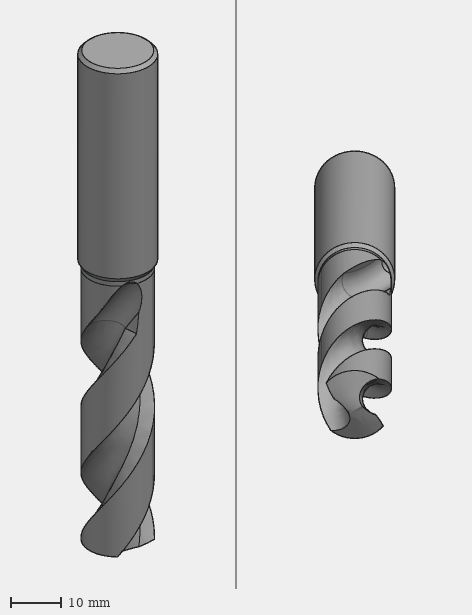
import cadquery as cq
import math

origin = cq.Vector(0, 0, 0)
z_axis = cq.Vector(0, 0, 1)

total_length = 115.0
shank_diameter = 16.0
drill_diameter = 14.7
point_angle = 140.0

cutting_length = 65.0
neck_top = 66.0
shank_bottom = 67.0
top_chamfer = 0.8

flute_count = 2
flute_pitch = 60.5
flute_helix_top = 53.5
flute_start_angle = -47.0
flute_turn = 360 * flute_helix_top / flute_pitch

core_radius = 1.5
flute_arc_radius = 3.9
flute_arc_side = -1.2
lip_inner = (3.7, 2.5)
lip_outer = (6.9, 8.3)
flute_reach = 8.6

runout_radius = 24.2
runout_tilt_radius = 7.142
runout_sweep = 50.0

shank_radius = shank_diameter / 2
drill_radius = drill_diameter / 2
point_height = drill_radius / math.tan(math.radians(point_angle / 2))


def flute_outline():
    """Flute section facing +X: a round floor, then a straight lip side."""
    arc_center = core_radius + flute_arc_radius
    lip_angle = math.atan2(lip_inner[1] - flute_arc_side, lip_inner[0] - arc_center)
    heel_angle = 3 * math.pi / 2
    middle_angle = (lip_angle + heel_angle) / 2
    arc_middle = (
        arc_center + flute_arc_radius * math.cos(middle_angle),
        flute_arc_side + flute_arc_radius * math.sin(middle_angle),
    )
    heel_side = flute_arc_side - flute_arc_radius
    return (
        cq.Workplane("XY")
        .moveTo(flute_reach, heel_side)
        .lineTo(arc_center, heel_side)
        .threePointArc(arc_middle, lip_inner)
        .lineTo(*lip_outer)
        .close()
    )


def helical_cutter():
    """Flute section twisted from the point up to the start of the run-out."""
    return flute_outline().twistExtrude(flute_helix_top, flute_turn).val()


def runout_cutter():
    """Flute section turned about an axis outside the drill, square to the helix."""
    helix_slope = 2 * math.pi * runout_tilt_radius / flute_pitch
    section = flute_outline().wires().val()
    pivot = cq.Vector(core_radius + runout_radius, 0, 0)
    axis = cq.Vector(0, 1.2, -helix_slope)
    cutter = cq.Solid.revolve(section, [], runout_sweep, pivot, pivot + axis)
    return cutter.rotate(origin, z_axis, flute_turn).translate(z_axis * flute_helix_top)


def cut_flutes(body, cutter):
    """Cut the same flute at equal turns around the drill axis."""
    for i in range(flute_count):
        angle = flute_start_angle + i * 360 / flute_count
        body = body.cut(cutter.rotate(origin, z_axis, angle))
    return body


def make_cutting_part():
    """Pointed cylinder with helical flutes that run out at its top."""
    blank = (
        cq.Workplane("XZ")
        .moveTo(0, 0)
        .lineTo(drill_radius, point_height)
        .lineTo(drill_radius, cutting_length)
        .lineTo(0, cutting_length)
        .close()
        .revolve(360, (0, 0), (0, 1))
    )
    return cut_flutes(cut_flutes(blank.val(), helical_cutter()), runout_cutter())


def make_shank():
    """Plain shank and short neck; the flute run-outs end in the neck."""
    blank = (
        cq.Workplane("XZ")
        .moveTo(0, cutting_length)
        .lineTo(drill_radius, cutting_length)
        .lineTo(drill_radius, neck_top)
        .lineTo(shank_radius, shank_bottom)
        .lineTo(shank_radius, total_length - top_chamfer)
        .lineTo(shank_radius - top_chamfer, total_length)
        .lineTo(0, total_length)
        .close()
        .revolve(360, (0, 0), (0, 1))
    )
    return cut_flutes(blank.val(), runout_cutter())


cutting_part = cq.Workplane(make_cutting_part()).solids()
shank = cq.Workplane(make_shank()).solids()

result = cq.Compound.makeCompound([cutting_part.val(), shank.val()])